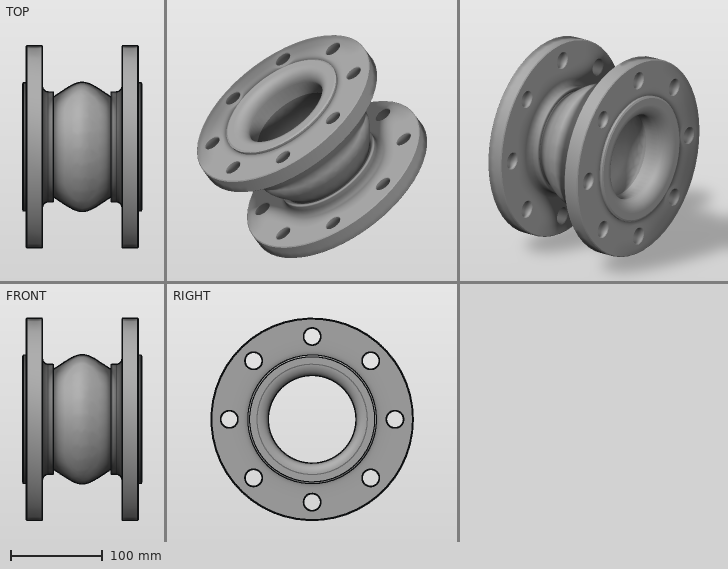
import cadquery as cq
import math


overall_length = 130.0
half_length = overall_length / 2
lip_thickness = 4.0
flange_thickness = 18.0
collar_length = 11.9

flange_diameter = 220
flange_chamfer = 1.0
collar_diameter = 120.0
collar_fillet = 6.0
collar_outer_round = 1.3
collar_bore_round = 3.0
bolt_count = 8
bolt_circle_diameter = 180.0
bolt_hole_diameter = 18.0
bolt_hole_chamfer = 0.7

sleeve_diameter = 109.0
bore_diameter = 95.0
lip_diameter = 140.0
lip_edge_diameter = 136.0
lip_bevel_length = 1.0
mouth_diameter = 120.0
crown_diameter = 140.8
fold_flank_angle = 32.5
inner_fold_half_width = 35.0

outer_face = half_length - lip_thickness
inner_face = outer_face - flange_thickness
collar_end = inner_face - collar_length
sleeve_radius = sleeve_diameter / 2
bore_radius = bore_diameter / 2
collar_radius = collar_diameter / 2
outer_crown_height = crown_diameter / 2
wall_thickness = sleeve_radius - bore_radius
inner_crown_height = outer_crown_height - wall_thickness
mouth_radius = (mouth_diameter - bore_diameter) / 2


def arc_inset(radius):
    """Distance from either tangent side of a quarter round to the middle of its arc."""
    return radius * (1 - math.cos(math.pi / 4))


def revolve_about_x(profile):
    return profile.close().revolve(360, (0, 0, 0), (1, 0, 0))


def make_bellows():
    """Sleeve with one bulging fold, flared at both ends into a flat sealing lip."""
    flank_run = math.cos(math.radians(fold_flank_angle))
    flank_rise = math.sin(math.radians(fold_flank_angle))
    mouth_start = half_length - mouth_radius
    mouth_mid_x = mouth_start + mouth_radius * math.sin(math.pi / 4)
    mouth_mid_height = bore_radius + arc_inset(mouth_radius)
    profile = (
        cq.Workplane("XY")
        .moveTo(-half_length, mouth_diameter / 2)
        .lineTo(-half_length, lip_edge_diameter / 2)
        .lineTo(-half_length + lip_bevel_length, lip_diameter / 2)
        .lineTo(-outer_face, lip_diameter / 2)
        .lineTo(-outer_face, sleeve_radius)
        .lineTo(-collar_end, sleeve_radius)
        .spline(
            [(0, outer_crown_height), (collar_end, sleeve_radius)],
            tangents=[(flank_run, flank_rise), (flank_run, -flank_rise)],
            includeCurrent=True,
        )
        .lineTo(outer_face, sleeve_radius)
        .lineTo(outer_face, lip_diameter / 2)
        .lineTo(half_length - lip_bevel_length, lip_diameter / 2)
        .lineTo(half_length, lip_edge_diameter / 2)
        .lineTo(half_length, mouth_diameter / 2)
        .threePointArc((mouth_mid_x, mouth_mid_height), (mouth_start, bore_radius))
        .lineTo(inner_fold_half_width, bore_radius)
        .spline(
            [(0, inner_crown_height), (-inner_fold_half_width, bore_radius)],
            tangents=[(-flank_run, flank_rise), (-flank_run, -flank_rise)],
            includeCurrent=True,
        )
        .lineTo(-mouth_start, bore_radius)
        .threePointArc((-mouth_mid_x, mouth_mid_height), (-half_length, mouth_diameter / 2))
    )
    return revolve_about_x(profile)


def make_bolt_hole():
    """Cutter on the X axis for one hole through the flange, bevelled at both faces."""
    radius = bolt_hole_diameter / 2
    profile = (
        cq.Workplane("XY")
        .moveTo(inner_face, 0)
        .lineTo(inner_face, radius + bolt_hole_chamfer)
        .lineTo(inner_face + bolt_hole_chamfer, radius)
        .lineTo(outer_face - bolt_hole_chamfer, radius)
        .lineTo(outer_face, radius + bolt_hole_chamfer)
        .lineTo(outer_face, 0)
    )
    return revolve_about_x(profile)


def make_flange(side):
    """Bolted ring with an inward collar; side is +1 for the +X end, -1 for the -X end."""
    rim = flange_diameter / 2
    fillet_offset = arc_inset(collar_fillet)
    outer_offset = arc_inset(collar_outer_round)
    bore_offset = arc_inset(collar_bore_round)
    profile = (
        cq.Workplane("XY")
        .moveTo(outer_face, sleeve_radius)
        .lineTo(outer_face, rim - flange_chamfer)
        .lineTo(outer_face - flange_chamfer, rim)
        .lineTo(inner_face + flange_chamfer, rim)
        .lineTo(inner_face, rim - flange_chamfer)
        .lineTo(inner_face, collar_radius + collar_fillet)
        .threePointArc(
            (inner_face - fillet_offset, collar_radius + fillet_offset),
            (inner_face - collar_fillet, collar_radius),
        )
        .lineTo(collar_end + collar_outer_round, collar_radius)
        .threePointArc(
            (collar_end + outer_offset, collar_radius - outer_offset),
            (collar_end, collar_radius - collar_outer_round),
        )
        .lineTo(collar_end, sleeve_radius + collar_bore_round)
        .threePointArc(
            (collar_end + bore_offset, sleeve_radius + bore_offset),
            (collar_end + collar_bore_round, sleeve_radius),
        )
    )
    flange = revolve_about_x(profile)
    bolt_hole = make_bolt_hole().translate((0, 0, bolt_circle_diameter / 2))
    for index in range(bolt_count):
        flange = flange.cut(bolt_hole.rotate((0, 0, 0), (1, 0, 0), index * 360 / bolt_count))
    return flange if side > 0 else flange.mirror("YZ")


bellows = make_bellows()
flanges = [make_flange(side) for side in (-1, 1)]

result = cq.Compound.makeCompound([bellows.val(), *[flange.val() for flange in flanges]])